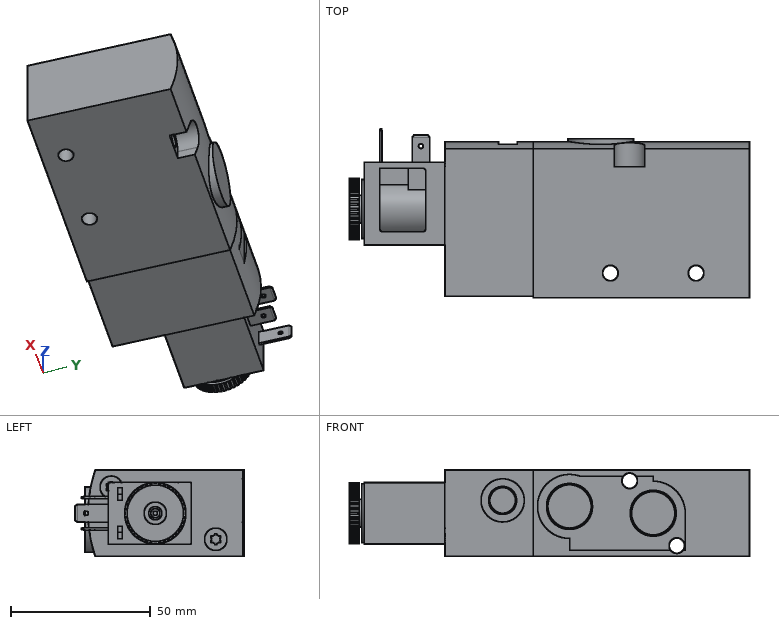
import cadquery as cq
import math

LENGTH = 143.8
HEIGHT = 31.0
MID_Z = HEIGHT / 2

COIL_X = 5.3
PILOT_X = 34.4
HOUSING_X = 66.0

BACK_Y = 56.1
BACK_EDGE_Y = 53.5
PILOT_INSET = 0.6

PORT_D = 15.5
PORT_MOUTH_D = 16.5
PORT_DEPTH = 23.0
MOUTH_DEPTH = 1.0
LEFT_PORT = (79.1, 18.0)
RIGHT_PORT = (109.2, MID_Z)
GASKET_R = 11.5
GASKET_LOW_Z = 2.3
GASKET_HIGH_Z = 28.8
GASKET_DEPTH = 0.7

MOUNT_HOLE_D = 5.5
CROSS_HOLE_OFFSET_Z = 11.7
CROSS_HOLE_UPPER_X = 100.7
CROSS_HOLE_LOWER_X = 117.7
NUT_SLOT_WIDTH = 11.0
NUT_SLOT_FLOOR_Y = 47.2
UPRIGHT_HOLES_X = (93.8, 124.6)
UPRIGHT_HOLES_Y = 8.9

BOSS_D = 23.6
BOSS_CENTRE = (90.3, 13.2)
BOSS_FACE_Y = 57.3

PILOT_PORT = (55.1, 20.1)
PILOT_SPOTFACE_D = 15.5
PILOT_SPOTFACE_DEPTH = 0.9
PILOT_PORT_D = 9.2
PILOT_PORT_MOUTH_D = 10.0
PILOT_PORT_DEPTH = 13.0
BACK_SLOT_X = 57.0
BACK_SLOT_WIDTH = 6.6
BACK_SLOT_DEPTH = 0.9

SCREW_HEAD_D = 8.0
SCREW_HEAD_DEPTH = 4.3
SCREW_SOCKET_D = 4.0
SCREW_LOBE_D = 0.9
SCREW_LOBES = 6
SCREW_SOCKET_DEPTH = 1.5
SCREW_OFFSET_Z = 9.4
LOWER_SCREW_Y = 10.2
UPPER_SCREW_Y = 47.8
SCREW_CENTRES = ((LOWER_SCREW_Y, MID_Z - SCREW_OFFSET_Z), (UPPER_SCREW_Y, MID_Z + SCREW_OFFSET_Z))

COIL_LOW_Y = 19.0
COIL_HIGH_Y = 48.8
COIL_HEIGHT = 22.2
COIL_TOP_Z = MID_Z + COIL_HEIGHT / 2
COIL_EDGE_R = 0.3
AXIS_Y = 32.0
POCKET_X = (11.0, 27.5)
POCKET_Y = (23.7, 46.6)
POCKET_FLOOR_Z = 19.4
POCKET_CORNER_R = 1.2
WINDING_R = 9.5
STEP_X = 21.1
STEP_Y = 38.8
STEP_TOP_Z = 22.0
SLIT_Y = 44.6
SLIT_WIDTH = 1.6
SLIT_HALF_HEIGHT = 2.3
SLIT_OFFSET_Z = 6.9
SLIT_SHALLOW = 2.2
SLIT_DEEP = 3.6

BLADE_WIDTH = 6.3
BLADE_THICKNESS = 0.9
BLADE_TIP_LENGTH = 0.9
BLADE_TIP_WIDTH = 5.0
BLADE_TIP_THICKNESS = 0.5
BLADE_HOLE_D = 1.6
BLADE_HOLE_FROM_TIP = 4.0
EARTH_BLADE_X = 11.4
EARTH_BLADE_END_Y = 60.8
POWER_BLADE_X = 25.7
POWER_BLADE_END_Y = 58.5
POWER_BLADE_OFFSET_Z = 5.6

KNOB_D = 22.0
KNOB_LENGTH = 3.6
KNOB_RIM = 0.9
KNOB_DISH = 1.9
KNURL_COUNT = 40
KNURL_LENGTH = 3.0
KNURL_WIDTH = 0.7
KNURL_DEPTH = 0.3
NECK_D = 10.0
FLANGE_X = 4.5
FLANGE_D = 21.3
HUB_D = 8.0
HUB_HEIGHT = 0.6
HUB_BORE_D = 4.7
HUB_BORE_DEPTH = 0.6
SOCKET_D = 3.3
SOCKET_DEPTH = 2.6
CENTRE_HOLE_D = 1.6
CENTRE_HOLE_DEPTH = 3.6


def box(x, y, z):
    """Box given by its (low, high) limits on each axis."""
    size = (x[1] - x[0], y[1] - y[0], z[1] - z[0])
    return cq.Workplane("XY").box(*size, centered=False).translate((x[0], y[0], z[0]))


def cylinder_x(y, z, diameter, x_start, x_end):
    """Cylinder along +X."""
    return cq.Workplane("YZ", origin=(x_start, y, z)).circle(diameter / 2).extrude(x_end - x_start)


def cylinder_y(x, z, diameter, y_start, y_end):
    """Cylinder along +Y."""
    return cq.Workplane("XZ", origin=(x, y_start, z)).circle(diameter / 2).extrude(y_start - y_end)


def crowned_block(x_start, x_end, face_y):
    """Block with a flat port face at low Y and a rounded back."""
    return (
        cq.Workplane("YZ", origin=(x_start, 0, 0))
        .moveTo(BACK_EDGE_Y, 0)
        .threePointArc((BACK_Y, MID_Z), (BACK_EDGE_Y, HEIGHT))
        .lineTo(face_y, HEIGHT)
        .lineTo(face_y, 0)
        .close()
        .extrude(x_end - x_start)
    )


def port(centre, face_y, diameter, mouth_diameter, depth):
    """Blind bore along Y with a conical mouth."""
    bore = cylinder_y(*centre, diameter, face_y, face_y + depth)
    mouth_centre = cq.Vector(centre[0], face_y, centre[1])
    mouth = cq.Solid.makeCone(
        mouth_diameter / 2, diameter / 2, MOUTH_DEPTH, pnt=mouth_centre, dir=cq.Vector(0, 1, 0)
    )
    return bore.union(cq.Workplane(mouth))


def gasket_recess():
    """Shallow recess around both main ports."""
    right_edge_x = RIGHT_PORT[0] + GASKET_R
    outline = (
        cq.Workplane("XZ")
        .moveTo(LEFT_PORT[0], GASKET_LOW_Z)
        .lineTo(right_edge_x, GASKET_LOW_Z)
        .lineTo(right_edge_x, RIGHT_PORT[1])
        .radiusArc((RIGHT_PORT[0], RIGHT_PORT[1] + GASKET_R), -GASKET_R)
        .lineTo(RIGHT_PORT[0], GASKET_HIGH_Z)
        .lineTo(LEFT_PORT[0], GASKET_HIGH_Z)
        .close()
        .extrude(-GASKET_DEPTH)
    )
    return outline.union(cylinder_y(*LEFT_PORT, 2 * GASKET_R, 0, GASKET_DEPTH))


def cross_hole(x, side):
    """Through hole along Y with a round-ended nut slot open to the top (side 1) or bottom (side -1)."""
    z = MID_Z + side * CROSS_HOLE_OFFSET_Z
    half = NUT_SLOT_WIDTH / 2
    z_limits = sorted((z, MID_Z + side * MID_Z))
    slot = cylinder_y(x, z, NUT_SLOT_WIDTH, NUT_SLOT_FLOOR_Y, BOSS_FACE_Y).union(
        box((x - half, x + half), (NUT_SLOT_FLOOR_Y, BOSS_FACE_Y), z_limits)
    )
    return cylinder_y(x, z, MOUNT_HOLE_D, 0, BACK_Y).union(slot)


def make_housing():
    body = crowned_block(HOUSING_X, LENGTH, 0)
    body = body.union(cylinder_y(*BOSS_CENTRE, BOSS_D, BACK_EDGE_Y, BOSS_FACE_Y))
    body = body.cut(gasket_recess())
    for centre in (LEFT_PORT, RIGHT_PORT):
        body = body.cut(port(centre, GASKET_DEPTH, PORT_D, PORT_MOUTH_D, PORT_DEPTH))
    body = body.cut(cross_hole(CROSS_HOLE_UPPER_X, 1))
    body = body.cut(cross_hole(CROSS_HOLE_LOWER_X, -1))
    upright = cq.Workplane("XY").pushPoints([(x, UPRIGHT_HOLES_Y) for x in UPRIGHT_HOLES_X])
    return body.cut(upright.circle(MOUNT_HOLE_D / 2).extrude(HEIGHT))


def make_pilot_block():
    block = crowned_block(PILOT_X, HOUSING_X, PILOT_INSET)
    port_floor_y = PILOT_INSET + PILOT_SPOTFACE_DEPTH
    block = block.cut(cylinder_y(*PILOT_PORT, PILOT_SPOTFACE_D, PILOT_INSET, port_floor_y))
    block = block.cut(port(PILOT_PORT, port_floor_y, PILOT_PORT_D, PILOT_PORT_MOUTH_D, PILOT_PORT_DEPTH))
    half = BACK_SLOT_WIDTH / 2
    block = block.cut(
        box((BACK_SLOT_X - half, BACK_SLOT_X + half), (BACK_Y - BACK_SLOT_DEPTH, BACK_Y), (0, HEIGHT))
    )
    for y, z in SCREW_CENTRES:
        block = block.cut(cylinder_x(y, z, SCREW_HEAD_D, PILOT_X, PILOT_X + SCREW_HEAD_DEPTH))
    return block


def make_screw(y, z):
    """Flush screw head with a six-lobed socket."""
    head = cylinder_x(y, z, SCREW_HEAD_D, PILOT_X, PILOT_X + SCREW_HEAD_DEPTH)
    lobe_ring_r = (SCREW_SOCKET_D - SCREW_LOBE_D) / 2
    socket_end_x = PILOT_X + SCREW_SOCKET_DEPTH
    socket = cylinder_x(y, z, 2 * lobe_ring_r, PILOT_X, socket_end_x)
    for i in range(SCREW_LOBES):
        angle = math.radians(90 + i * 360 / SCREW_LOBES)
        lobe_y = y + lobe_ring_r * math.cos(angle)
        lobe_z = z + lobe_ring_r * math.sin(angle)
        socket = socket.union(cylinder_x(lobe_y, lobe_z, SCREW_LOBE_D, PILOT_X, socket_end_x))
    return head.cut(socket)


def winding_pocket():
    """Pocket open to the top, less the winding and the step that rise inside it."""
    pocket = box(POCKET_X, POCKET_Y, (POCKET_FLOOR_Z, COIL_TOP_Z))
    pocket = pocket.edges("|Z and (>X or <Y)").fillet(POCKET_CORNER_R)
    winding = cylinder_x(AXIS_Y, MID_Z, 2 * WINDING_R, *POCKET_X)
    step = box((STEP_X, POCKET_X[1]), (STEP_Y, POCKET_Y[1]), (POCKET_FLOOR_Z, STEP_TOP_Z))
    return pocket.cut(winding).cut(step)


def face_slit(side):
    """Slit in the front face above (side 1) or below (side -1) the axis, deeper in its outer half."""
    y = (SLIT_Y - SLIT_WIDTH / 2, SLIT_Y + SLIT_WIDTH / 2)
    centre_z = MID_Z + side * SLIT_OFFSET_Z
    whole_z = (centre_z - SLIT_HALF_HEIGHT, centre_z + SLIT_HALF_HEIGHT)
    outer_z = sorted((centre_z, centre_z + side * SLIT_HALF_HEIGHT))
    shallow = box((COIL_X, COIL_X + SLIT_SHALLOW), y, whole_z)
    return shallow.union(box((COIL_X, COIL_X + SLIT_DEEP), y, outer_z))


def make_blade(x, z, end_y, upright):
    """Flat connector blade with a tapered tip and a hole; upright blades lie across X, others across Z."""
    size = (BLADE_WIDTH, BLADE_THICKNESS)
    tip_size = (BLADE_TIP_WIDTH, BLADE_TIP_THICKNESS)
    if upright:
        size = size[::-1]
        tip_size = tip_size[::-1]
    tip_y = end_y - BLADE_TIP_LENGTH
    blade = cq.Workplane("XZ", origin=(x, COIL_HIGH_Y, z)).rect(*size).extrude(COIL_HIGH_Y - tip_y)
    tip = cq.Workplane("XZ", origin=(x, tip_y, z)).rect(*size)
    tip = tip.workplane(offset=-BLADE_TIP_LENGTH).rect(*tip_size).loft()
    hole_plane = "YZ" if upright else "XY"
    hole_origin = (x, end_y - BLADE_HOLE_FROM_TIP, z)
    hole = cq.Workplane(hole_plane, origin=hole_origin).circle(BLADE_HOLE_D / 2)
    return blade.union(tip).cut(hole.extrude(BLADE_THICKNESS, both=True))


def make_coil():
    z_limits = (COIL_TOP_Z - COIL_HEIGHT, COIL_TOP_Z)
    coil = box((COIL_X, PILOT_X), (COIL_LOW_Y, COIL_HIGH_Y), z_limits)
    coil = coil.edges("|X and <Y").fillet(COIL_EDGE_R)
    coil = coil.cut(winding_pocket())
    for side in (1, -1):
        coil = coil.cut(face_slit(side))
        blade_z = MID_Z + side * POWER_BLADE_OFFSET_Z
        coil = coil.union(make_blade(POWER_BLADE_X, blade_z, POWER_BLADE_END_Y, upright=False))
    return coil.union(make_blade(EARTH_BLADE_X, MID_Z, EARTH_BLADE_END_Y, upright=True))


def make_knob():
    """Dished, knurled knob with a neck and a flange that rests on the coil."""
    def disc(diameter, x_start, x_end):
        return cylinder_x(AXIS_Y, MID_Z, diameter, x_start, x_end)

    hub_x = KNOB_DISH - HUB_HEIGHT
    knob = disc(KNOB_D, 0, KNOB_LENGTH).cut(disc(KNOB_D - 2 * KNOB_RIM, 0, KNOB_DISH))
    knob = knob.union(disc(NECK_D, KNOB_LENGTH, FLANGE_X)).union(disc(FLANGE_D, FLANGE_X, COIL_X))
    knob = knob.union(disc(HUB_D, hub_x, KNOB_DISH))
    knob = knob.cut(disc(HUB_BORE_D, hub_x, hub_x + HUB_BORE_DEPTH))
    knob = knob.cut(disc(SOCKET_D, hub_x, hub_x + SOCKET_DEPTH))
    knob = knob.cut(disc(CENTRE_HOLE_D, hub_x, hub_x + CENTRE_HOLE_DEPTH))
    grooves = (
        cq.Workplane("YZ", origin=(0, AXIS_Y, MID_Z))
        .polarArray(KNOB_D / 2, 0, 360, KNURL_COUNT)
        .rect(2 * KNURL_DEPTH, KNURL_WIDTH)
        .extrude(KNURL_LENGTH)
    )
    return knob.cut(grooves)


housing = make_housing()
pilot_block = make_pilot_block()
coil = make_coil()
knob = make_knob()
screws = [make_screw(y, z) for y, z in SCREW_CENTRES]

result = cq.Compound.makeCompound(
    [housing.val(), pilot_block.val(), coil.val(), knob.val(), *[screw.val() for screw in screws]]
)